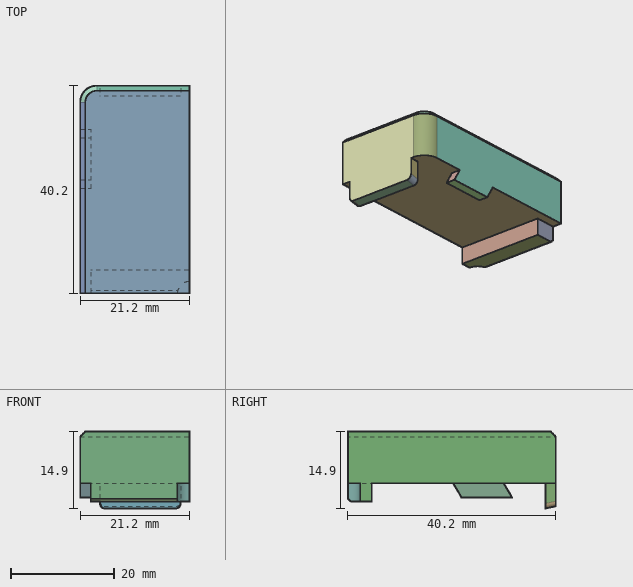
import cadquery as cq

width = 21.2
length = 40.2
block_height = 10.05
corner_radius = 3.2
top_chamfer = 1.0

lug_thickness = 2.0
lug_drop = 2.75
lug_length = 9.8
lug_start = 20.35
lug_slant = 1.6

foot_start = 2.0
foot_depth = 4.62
foot_drop = 3.55
foot_chamfer = 0.6
foot_relief_radius = 2.4

tab_start = 3.8
tab_width = 15.65
tab_depth = 2.0
tab_outer_drop = 4.42
tab_inner_drop = 4.85
tab_corner_radius = 1.0


def box_at(x, y, z, x_size, y_size, z_size):
    """Box placed by its lowest corner."""
    return cq.Workplane("XY").box(x_size, y_size, z_size, centered=False).translate((x, y, z))


def side_profile(points, x_start, thickness):
    """Prism with a YZ outline, extruded along X from x_start."""
    return cq.Workplane("YZ", origin=(x_start, 0, 0)).polyline(points).close().extrude(thickness)


def make_block():
    block = box_at(0, 0, -block_height, width, length, block_height)
    block = block.edges("|Z and <X and >Y").fillet(corner_radius)
    return block.faces(">Z").edges("<X or >Y or %CIRCLE").chamfer(top_chamfer)


def make_lug():
    lug_bottom = -block_height - lug_drop
    points = [
        (lug_start, -block_height),
        (lug_start + lug_length, -block_height),
        (lug_start + lug_length + lug_slant, lug_bottom),
        (lug_start + lug_slant, lug_bottom),
    ]
    return side_profile(points, 0, lug_thickness)


def make_foot():
    foot_bottom = -block_height - foot_drop
    foot = box_at(foot_start, 0, foot_bottom, width - foot_start, foot_depth, foot_drop)
    foot = foot.edges("<Y and <Z").chamfer(foot_chamfer)
    relief = (
        cq.Workplane("XY", origin=(width, 0, foot_bottom))
        .circle(foot_relief_radius)
        .extrude(foot_drop)
    )
    return foot.cut(relief)


def make_tab():
    inner_face = length - tab_depth
    points = [
        (inner_face, -block_height),
        (length, -block_height),
        (length, -block_height - tab_outer_drop),
        (inner_face, -block_height - tab_inner_drop),
    ]
    tab = side_profile(points, tab_start, tab_width)
    return tab.faces("<Z").edges("<X or >X").fillet(tab_corner_radius)


result = make_block().union(make_lug()).union(make_foot()).union(make_tab())